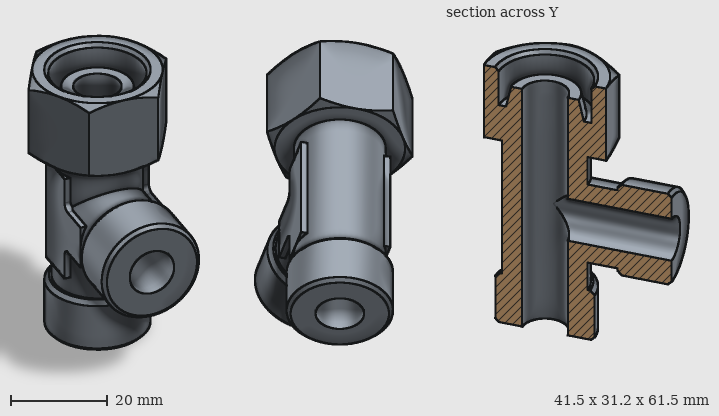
import cadquery as cq
import math

total_height = 61.5
branch_height = 28.0
branch_reach = 28.0

body_diameter = 19.0
bore_diameter = 10.0
collar_diameter = 22.0
collar_length = 12.0
collar_end_diameter = 20.35
collar_back_chamfer = 1.0
collar_end_chamfer = (collar_diameter - collar_end_diameter) / 2

nut_across_flats = 27.0
nut_height = 17.5
nut_chamfer_angle = 30
nut_rim_margin = 0.6
hex_half_angle = 180 / 6
nut_bore_diameter = 20.35
nut_mouth_diameter = 22.0
nut_mouth_chamfer = (nut_mouth_diameter - nut_bore_diameter) / 2
nut_bottom = total_height - nut_height

nose_tip_diameter = 15.0
nose_base_diameter = 17.3
nose_tip_depth = 4.0
nose_length = 5.0
nose_tip = total_height - nose_tip_depth
nose_base = nose_tip - nose_length

pad_width = 9.6
pad_length = 24.0
pad_reach = 13.0
pad_span = 19.05
pad_corner_radius = 1.5


def cylinder(diameter, length):
    return cq.Workplane("XY").circle(diameter / 2).extrude(length)


def collar():
    """Threaded end with its free end at the origin."""
    blank = cylinder(collar_diameter, collar_length)
    blank = blank.faces("<Z").chamfer(collar_end_chamfer)
    return blank.faces(">Z").chamfer(collar_back_chamfer)


def to_branch(shape):
    """Move a shape standing on the origin to the branch end, pointing inward."""
    turned = shape.rotate((0, 0, 0), (0, 1, 0), -90)
    return turned.translate((branch_reach, 0, branch_height))


def pads():
    run = cq.Workplane("XY").box(pad_width, pad_span, pad_length)
    arm = cq.Workplane("XY").box(pad_reach, pad_span, pad_width).translate((pad_reach / 2, 0, 0))
    tee = run.union(arm)
    corner_x = pad_width / 2
    for corner_z in (-pad_width / 2, pad_width / 2):
        corner = cq.selectors.NearestToPointSelector((corner_x, 0, corner_z))
        tee = tee.edges("|Y").edges(corner).fillet(pad_corner_radius)
    return tee.translate((0, 0, branch_height))


def nut():
    """Hexagon with corners on the Y axis, both ends turned down to a cone."""
    corner_diameter = nut_across_flats / math.cos(math.radians(hex_half_angle))
    hexagon = cq.Workplane("XY").polygon(6, corner_diameter).extrude(nut_height)
    hexagon = hexagon.rotate((0, 0, 0), (0, 0, 1), 90)
    face_radius = nut_across_flats / 2
    corner_radius = corner_diameter / 2
    rim_radius = corner_radius + nut_rim_margin
    drop = (rim_radius - face_radius) * math.tan(math.radians(nut_chamfer_angle))
    envelope = (
        cq.Workplane("XZ")
        .moveTo(0, 0)
        .lineTo(face_radius, 0)
        .lineTo(rim_radius, drop)
        .lineTo(rim_radius, nut_height - drop)
        .lineTo(face_radius, nut_height)
        .lineTo(0, nut_height)
        .close()
        .revolve(360, (0, 0, 0), (0, 1, 0))
    )
    return hexagon.intersect(envelope).translate((0, 0, nut_bottom))


def nut_cavity():
    """Nut bore with a chamfered mouth, leaving the sealing nose standing."""
    bore_radius = nut_bore_diameter / 2
    return (
        cq.Workplane("XZ")
        .moveTo(0, total_height)
        .lineTo(nut_mouth_diameter / 2, total_height)
        .lineTo(bore_radius, total_height - nut_mouth_chamfer)
        .lineTo(bore_radius, nose_base)
        .lineTo(nose_base_diameter / 2, nose_base)
        .lineTo(nose_tip_diameter / 2, nose_tip)
        .lineTo(0, nose_tip)
        .close()
        .revolve(360, (0, 0, 0), (0, 1, 0))
    )


run_body = cylinder(body_diameter, nose_tip)
branch_body = to_branch(cylinder(body_diameter, branch_reach))
outside = run_body.union(branch_body).union(collar()).union(to_branch(collar()))
outside = outside.union(pads()).union(nut())

run_bore = cylinder(bore_diameter, total_height)
branch_bore = to_branch(cylinder(bore_diameter, branch_reach))
result = outside.cut(nut_cavity()).cut(run_bore).cut(branch_bore)